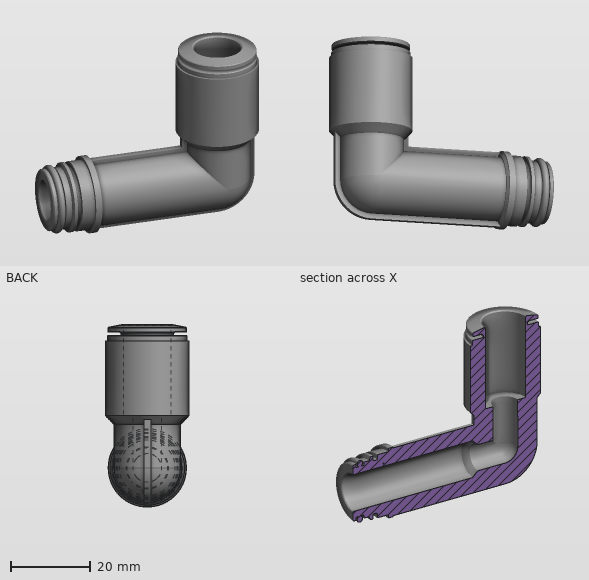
import cadquery as cq
import math


body_r = 21.1 / 2
overall_length = 56.45
overall_height = 46.05
collar_r = 19.75 / 2
tube_r = 8.35
bore_r = 7.2 / 2
spigot_length = overall_length - body_r
socket_top = overall_height - collar_r

socket_bore_r = 12.0 / 2
socket_mouth_r = 12.75 / 2
mouth_chamfer = 0.3
cap_r = 20.1 / 2
cap_edge = 0.15
release_r = 19.8 / 2
neck_r = 13.4 / 2
neck_flare = 0.35
body_bottom = 13.2
body_top = 32.05
cap_top = 33.5
release_bottom = 34.4
release_rim_top = 35.5
release_rim_edge = 0.15
cone_bottom = 11.1
cone_small_r = 8.5
cone_edge = cone_small_r - tube_r

land_r = 17.9 / 2
nose_r = 15.9 / 2
groove_r = 15.1 / 2
groove_shoulder_r = 7.7
ring_seat_r = 14.1 / 2
collar_cone_start = 33.15
collar_start = 33.7
collar_end = 35.3
collar_cone_small_r = 8.7
collar_cone_large_r = 9.4
groove_start = 38.55
groove_end = 39.8
groove_step = 0.35
land_end = 40.6
nose_start = 41.05
seat_start = 42.55
seat_end = 44.9
nose_chamfer = 0.3

ring_center = 43.75
ring_section_r = 0.9
ring_outer_r = 8.75

spigot_mouth_r = 10.65 / 2
spigot_bore_r = 10.2 / 2
spigot_mouth_chamfer = 0.2
cone_tip = tube_r
cone_base = cone_tip + spigot_bore_r - bore_r

rib_thickness = 1.75
rib_reach = 9.6
rib_top = body_bottom


def revolve_about_z(profile):
    """Revolve a closed (radius, height) profile about the Z axis."""
    return cq.Workplane("XZ").polyline(profile).close().revolve(360, (0, 0), (0, 1))


def toward_spigot(solid):
    """Turn a solid built along +Z so that it runs along -Y."""
    return solid.rotate((0, 0, 0), (1, 0, 0), 90)


def elbow(radius, height, length):
    """Two round legs that meet on a ball at the origin."""
    upright = cq.Workplane("XY").circle(radius).extrude(height)
    level = toward_spigot(cq.Workplane("XY").circle(radius).extrude(length))
    ball = cq.Workplane("XY").sphere(radius)
    return upright.union(level).union(ball)


def make_socket():
    return revolve_about_z([
        (0, cone_bottom - cone_edge),
        (tube_r, cone_bottom - cone_edge),
        (cone_small_r, cone_bottom),
        (body_r, body_bottom),
        (body_r, body_top),
        (cap_r, body_top),
        (cap_r, cap_top - cap_edge),
        (cap_r - cap_edge, cap_top),
        (neck_r, cap_top),
        (neck_r, release_bottom - neck_flare),
        (neck_r + neck_flare, release_bottom),
        (release_r, release_bottom),
        (release_r, release_rim_top - release_rim_edge),
        (release_r - release_rim_edge, release_rim_top),
        (socket_mouth_r, socket_top),
        (0, socket_top),
    ])


def make_spigot():
    return toward_spigot(revolve_about_z([
        (0, collar_cone_start),
        (collar_cone_small_r, collar_cone_start),
        (collar_cone_large_r, collar_start),
        (collar_r, collar_start),
        (collar_r, collar_end),
        (land_r, collar_end),
        (land_r, groove_start),
        (groove_shoulder_r, groove_start),
        (groove_r, groove_start + groove_step),
        (groove_r, groove_end - groove_step),
        (groove_shoulder_r, groove_end),
        (land_r, groove_end),
        (land_r, land_end),
        (nose_r, nose_start),
        (nose_r, seat_start),
        (ring_seat_r, seat_start),
        (ring_seat_r, seat_end),
        (nose_r, seat_end),
        (nose_r, spigot_length - nose_chamfer),
        (nose_r - nose_chamfer, spigot_length),
        (0, spigot_length),
    ]))


def make_o_ring():
    center_r = ring_outer_r - ring_section_r
    section = cq.Workplane("XZ").center(-center_r, ring_center).circle(ring_section_r)
    return toward_spigot(section.revolve(360, (center_r, 0), (center_r, 1)))


def make_rib():
    arc_middle = rib_reach * math.sqrt(0.5)
    return (
        cq.Workplane("YZ")
        .moveTo(-collar_start, -rib_reach)
        .lineTo(0, -rib_reach)
        .threePointArc((arc_middle, -arc_middle), (rib_reach, 0))
        .lineTo(rib_reach, rib_top)
        .lineTo(-rib_reach, rib_top)
        .lineTo(-rib_reach, rib_reach)
        .lineTo(-collar_start, rib_reach)
        .close()
        .extrude(rib_thickness / 2, both=True)
    )


def make_socket_bore():
    return revolve_about_z([
        (0, body_bottom),
        (socket_bore_r, body_bottom),
        (socket_bore_r, socket_top - mouth_chamfer),
        (socket_mouth_r, socket_top),
        (0, socket_top),
    ])


def make_spigot_bore():
    return toward_spigot(revolve_about_z([
        (0, cone_tip),
        (bore_r, cone_tip),
        (spigot_bore_r, cone_base),
        (spigot_bore_r, spigot_length - spigot_mouth_chamfer),
        (spigot_mouth_r, spigot_length),
        (0, spigot_length),
    ]))


outside = (
    elbow(tube_r, body_bottom, collar_start)
    .union(make_rib())
    .union(make_socket())
    .union(make_spigot())
    .union(make_o_ring())
)

result = (
    outside
    .cut(elbow(bore_r, body_bottom, cone_tip))
    .cut(make_socket_bore())
    .cut(make_spigot_bore())
)